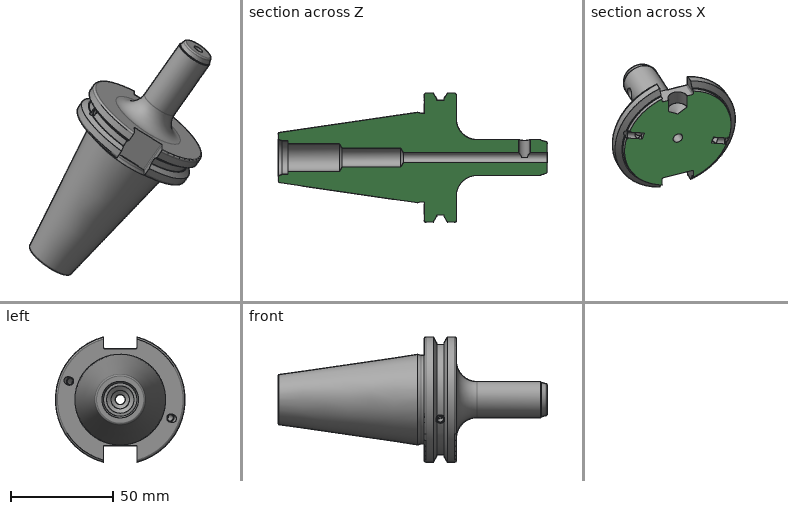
import cadquery as cq
import math

gage_to_small_end = 68.25
gage_to_flange = 3.18
gage_to_nose = 63.5
flange_width = 15.87
x_small_end = 0.0
x_gage = x_small_end + gage_to_small_end
x_flange = x_gage + gage_to_flange
x_flange_end = x_flange + flange_width
x_nose = x_gage + gage_to_nose

gage_diameter = 44.45
taper_ratio = 7.0 / 24.0
small_end_diameter = gage_diameter - gage_to_small_end * taper_ratio
small_end_fillet = 0.8
relief_diameter = 43.6
relief_chamfer_length = 1.6

flange_diameter = 63.5
flange_fillet = 1.0
groove_from_gage = 11.11
groove_bottom_diameter = 56.4
groove_bottom_width = 3.4
groove_top_width = 6.8
groove_flank_angle = 30.0
x_groove = x_gage + groove_from_gage

slot_width = 16.3
upper_slot_floor = 25.0
lower_slot_floor = 22.6
slot_corner_fillet = 0.5
mark_diameter = 9.53
mark_depth = 7.0
drill_point_angle = 118.0

stub_diameter = 17.78
neck_fillet = 10.0
nose_length = 3.3
nose_chamfer = 0.4
nose_taper_angle = 15.0
nose_fillet = 1.0
nose_taper_start = x_nose - nose_length + nose_chamfer
nose_taper_drop = (x_nose - nose_taper_start) * math.tan(math.radians(nose_taper_angle))
nose_end_diameter = stub_diameter - 2 * (nose_chamfer + nose_taper_drop)

recess_diameter = 17.9
pilot_diameter = 16.3
recess_depth = 2.0
pilot_depth = 4.7
thread_diameter = 13.39
thread_depth = 30.0
relay_diameter = 9.0
relay_depth = 60.0
tool_diameter = 4.76

screw_diameter = 5.55
screw_from_nose = 11.2

coolant_clock_angle = 20.0
coolant_tilt = 30.0
coolant_diameter = 3.24
coolant_overrun = 3.0
face_mouth_radius = 26.85
face_mouth_diameter = 4.0
face_mouth_depth = 1.5
cross_mouth_diameter = 4.2
cross_mouth_depth = 0.8
cross_end_radius = 19.5


def cone_length(large_diameter, small_diameter):
    """Length of a drill point cone between two diameters."""
    half_angle = math.radians(drill_point_angle / 2)
    return (large_diameter - small_diameter) / 2 / math.tan(half_angle)


def make_body():
    """Turned body: taper, relief, grooved flange, neck and stub."""
    flange_radius = flange_diameter / 2
    stub_radius = stub_diameter / 2
    groove_radius = groove_bottom_diameter / 2
    groove_bottom_half = groove_bottom_width / 2
    groove_top_half = groove_top_width / 2
    flank_depth = (groove_top_half - groove_bottom_half) / math.tan(math.radians(groove_flank_angle))
    flank_end_radius = flange_radius - flank_depth
    neck_root_radius = stub_radius + neck_fillet
    neck_bow = neck_fillet * math.sqrt(0.5)
    neck_middle = (x_flange_end + neck_fillet - neck_bow, neck_root_radius - neck_bow)

    outline = (
        cq.Workplane("XY")
        .moveTo(x_small_end, 0)
        .lineTo(x_small_end, small_end_diameter / 2)
        .lineTo(x_gage, gage_diameter / 2)
        .lineTo(x_gage + relief_chamfer_length, relief_diameter / 2)
        .lineTo(x_flange, relief_diameter / 2)
        .lineTo(x_flange, flange_radius)
        .lineTo(x_groove - groove_top_half, flange_radius)
        .lineTo(x_groove - groove_bottom_half, flank_end_radius)
        .lineTo(x_groove - groove_bottom_half, groove_radius)
        .lineTo(x_groove + groove_bottom_half, groove_radius)
        .lineTo(x_groove + groove_bottom_half, flank_end_radius)
        .lineTo(x_groove + groove_top_half, flange_radius)
        .lineTo(x_flange_end, flange_radius)
        .lineTo(x_flange_end, neck_root_radius)
        .threePointArc(neck_middle, (x_flange_end + neck_fillet, stub_radius))
        .lineTo(x_nose - nose_length, stub_radius)
        .lineTo(nose_taper_start, stub_radius - nose_chamfer)
        .lineTo(x_nose, nose_end_diameter / 2)
        .lineTo(x_nose, 0)
        .close()
    )
    body = outline.revolve(360, (0, 0, 0), (1, 0, 0))

    body = round_rim(body, x_small_end, small_end_diameter, small_end_fillet)
    body = round_rim(body, x_flange, flange_diameter, flange_fillet)
    body = round_rim(body, x_flange_end, flange_diameter, flange_fillet)
    return round_rim(body, x_nose, nose_end_diameter, nose_fillet)


def round_rim(body, x, diameter, radius):
    """Fillet the circular edge of the given diameter at station x."""
    reach = 0.1
    half = diameter / 2 + reach
    rim = cq.selectors.BoxSelector((x - reach, -half, -half), (x + reach, half, half), boundingbox=True)
    inner = diameter / 2 - reach
    core = cq.selectors.BoxSelector((x - reach, -inner, -inner), (x + reach, inner, inner), boundingbox=True)
    return body.edges(rim - core).fillet(radius)


def make_bore():
    """Stepped bore along the axis, open at both ends."""
    thread_cone = cone_length(thread_diameter, relay_diameter)
    relay_cone = cone_length(relay_diameter, tool_diameter)
    outline = (
        cq.Workplane("XY")
        .moveTo(x_small_end, 0)
        .lineTo(x_small_end, recess_diameter / 2)
        .lineTo(x_small_end + recess_depth, pilot_diameter / 2)
        .lineTo(x_small_end + pilot_depth, pilot_diameter / 2)
        .lineTo(x_small_end + pilot_depth, thread_diameter / 2)
        .lineTo(x_small_end + thread_depth, thread_diameter / 2)
        .lineTo(x_small_end + thread_depth + thread_cone, relay_diameter / 2)
        .lineTo(x_small_end + relay_depth, relay_diameter / 2)
        .lineTo(x_small_end + relay_depth + relay_cone, tool_diameter / 2)
        .lineTo(x_nose, tool_diameter / 2)
        .lineTo(x_nose, 0)
        .close()
    )
    return outline.revolve(360, (0, 0, 0), (1, 0, 0))


def make_slot(floor, side):
    """Drive slot across the flange; side is +1 for +Z and -1 for -Z."""
    height = flange_diameter / 2
    x_middle = x_flange + flange_width / 2
    floor_side = "<Z" if side > 0 else ">Z"
    slot = cq.Workplane("XY").box(flange_width, slot_width, height)
    slot = slot.faces(floor_side).edges("|X").fillet(slot_corner_fillet)
    return slot.translate((x_middle, 0, side * (floor + height / 2)))


def make_slot_mark():
    """Drilled blind hole with a conical bottom in the upper slot floor."""
    radius = mark_diameter / 2
    z_wall_end = upper_slot_floor - mark_depth
    z_tip = z_wall_end - cone_length(mark_diameter, 0)
    outline = (
        cq.Workplane("XZ")
        .moveTo(0, upper_slot_floor)
        .lineTo(radius, upper_slot_floor)
        .lineTo(radius, z_wall_end)
        .lineTo(0, z_tip)
        .close()
    )
    return outline.revolve(360, (0, 0, 0), (0, 1, 0)).translate((x_groove, 0, 0))


def make_cylinder(start, direction, length, diameter):
    """Cylinder from a start point along a direction."""
    solid = cq.Solid.makeCylinder(diameter / 2, length, cq.Vector(*start), cq.Vector(*direction))
    return cq.Workplane(solid)


def make_screw_hole():
    """Radial hole from the +Y side of the stub into the bore."""
    start = (x_nose - screw_from_nose, 0, 0)
    return make_cylinder(start, (0, 1, 0), stub_diameter, screw_diameter)


def make_coolant_hole(clock_angle):
    """Tilted stepped hole from the flange face, met by a radial stepped hole from the groove."""
    tilt = math.radians(coolant_tilt)
    inward = (math.cos(tilt), -math.sin(tilt), 0)
    overshoot = face_mouth_diameter / 2
    face_start = (x_flange - overshoot, face_mouth_radius + overshoot * math.tan(tilt), 0)
    start_to_face = overshoot / math.cos(tilt)
    face_to_groove = (x_groove - x_flange) / math.cos(tilt)
    face_length = start_to_face + face_to_groove + coolant_overrun
    face_mouth = make_cylinder(face_start, inward, start_to_face + face_mouth_depth, face_mouth_diameter)
    face_hole = make_cylinder(face_start, inward, face_length, coolant_diameter)

    outward = (0, 1, 0)
    flange_radius = flange_diameter / 2
    step_radius = groove_bottom_diameter / 2 - cross_mouth_depth
    mouth_length = flange_radius - step_radius
    cross_length = flange_radius - cross_end_radius
    cross_mouth = make_cylinder((x_groove, step_radius, 0), outward, mouth_length, cross_mouth_diameter)
    cross_hole = make_cylinder((x_groove, cross_end_radius, 0), outward, cross_length, coolant_diameter)

    hole = face_hole.union(face_mouth).union(cross_hole).union(cross_mouth)
    return hole.rotate((0, 0, 0), (1, 0, 0), clock_angle)


result = make_body()
result = result.cut(make_bore())
result = result.cut(make_slot(upper_slot_floor, 1))
result = result.cut(make_slot(lower_slot_floor, -1))
result = result.cut(make_slot_mark())
result = result.cut(make_screw_hole())
for half_turn in (0, 180):
    result = result.cut(make_coolant_hole(coolant_clock_angle + half_turn))